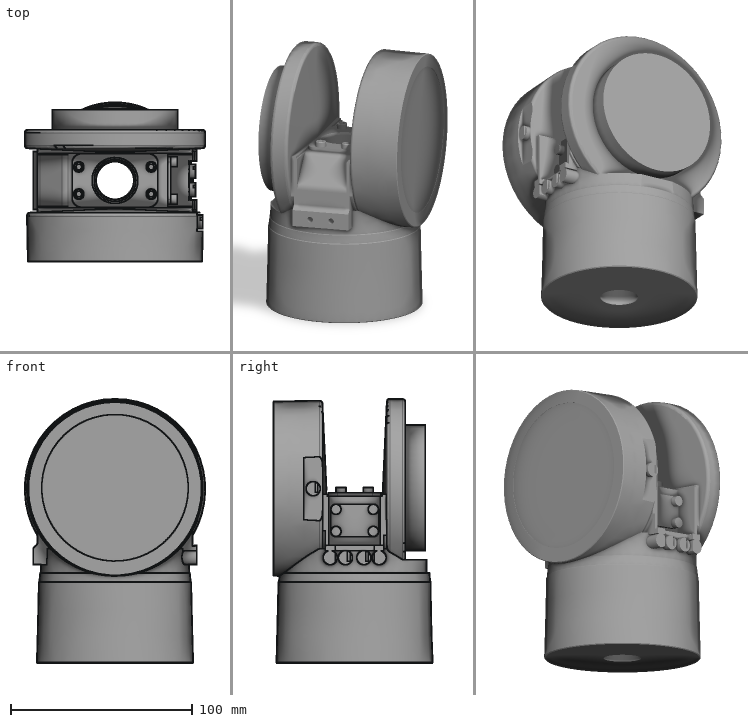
import cadquery as cq
import math

DRUM_BOTTOM_RADIUS = 43.25
DRUM_TOP_RADIUS = 42.15
DRUM_HEIGHT = 45.2
DRUM_CHAMFER = 0.5
COLLAR_TOP_RADIUS = 41.4
COLLAR_TOP = 50.2
SEAM_WIDTH = 0.4
SEAM_DEPTH = 0.3
NECK_RADIUS = 41.1
NECK_TOP_RADIUS = 40.7
NECK_TOP = 63.4
NECK_REAR_Y = 39.7
NECK_REAR_TOP = 57.3

REAR_AXIS_Z = 96.25
DISC_RADIUS = 49.9
DISC_INNER_Y = 17.7
DISC_OUTER_Y = 28.05
DISC_FILLET = 1.8
CONE_APEX_Y = 15.5
TUBE_RADIUS = 34.75
TUBE_END_Y = 39.1
TUBE_AXIS_Z = 97.0
FRONT_AXIS_Z = 96.5
FRONT_INNER_RADIUS = 48.75
FRONT_FACE_RADIUS = 48.2
FRONT_FACE_Y = -44.97
FRONT_FILLET = 1.9
FRONT_EDGE_CHAMFER = 0.4
WINDOW_RADIUS = 40.5
WINDOW_AXIS_Z = TUBE_AXIS_Z
WINDOW_DEPTH = 0.2

BRACKET_X = 42.9
BRACKET_HALF_WIDTH = 16.1
BRACKET_TOP = 92.4
CHEEK_TOP = 93.5
CHEEK_INNER_Y = 15.0
POCKET_HALF_WIDTH = 14.2
LEDGE_X = 45.2
LEDGE_LEFT_TOP = 63.6
LEDGE_RIGHT_TOP = 65.3
LEDGE_BOTTOM = 54.5
LEDGE_RIGHT_BOTTOM = 62.1
LEDGE_FILLET = 1.4
RELIEF_WIDTH = 1.2
RELIEF_DEPTH = 0.4
LEDGE_CHAMFER = LEDGE_X - BRACKET_X
RAMP_TOP_X = -26.2
RAMP_BOTTOM_Z = 75.0
RAMP_RADIUS = 4.5
RAMP_ANGLE = 45.0
LEDGE_HOLE_Y = 6.05
LEDGE_HOLE_Z = 58.9
LEDGE_HOLE_RADIUS = 1.6
LEDGE_HOLE_DEPTH = 4.0

PAD_LENGTH = 47.4
PAD_WIDTH = 29.4
PAD_CORNER = 5.0
PAD_TOP = 94.3
BORE_RADIUS = 10.4
BORE_MOUTH_RADIUS = 11.6
BORE_TAPER_DEPTH = 6.0
BORE_CHAMFER = 1.1
SCREW_X = 20.0
SCREW_Y = 7.5
SCREW_HEAD_RADIUS = 2.85
SCREW_HEAD_HEIGHT = 3.0
SCREW_HEAD_CHAMFER = 0.3
SCREW_SOCKET_RADIUS = 1.75
SCREW_SOCKET_DEPTH = 1.5

BAY_X = 29.0
PLATE_THICKNESS = 1.9
PLATE_HALF_WIDTH = 13.2
PLATE_BOTTOM = 70.0
PLATE_TOP = 88.0
PLATE_CORNER = 2.9
PLATE_SCREW_RADIUS = 2.8
PLATE_SCREW_HEIGHT = 3.4
NOTCH_X = 41.0
NOTCH_HALF_WIDTH = 10.7
EAR_RADIUS = 3.9
EAR_Y = 13.5
EAR_Z = LEDGE_BOTTOM + EAR_RADIUS
EAR_ROOT_X = 30.0
KNOB_Y = 5.1
KNOB_RADIUS = 3.9
KNOB_END_X = 44.6
KNOB_SLOT_OFFSET = 1.8
KNOB_SLOT_WIDTH = 1.5
KNOB_SLOT_DEPTH = 1.5

FLAT_X = 45.4
FLAT_Y_MIN = -28.0
FLAT_Y_MAX = -DISC_INNER_Y
FLAT_LENGTH = 50.0
FLAT_KNOB_Y = -22.9
FLAT_KNOB_END_X = 48.5
FLAT_KNOB_ROOT = 1.0


def box(x_min, x_max, y_min, y_max, z_min, z_max):
    block = cq.Workplane("XY").box(x_max - x_min, y_max - y_min, z_max - z_min, centered=False)
    return block.translate((x_min, y_min, z_min))


def cylinder_x(radius, x_min, x_max, y, z):
    return cq.Workplane("YZ", origin=(x_min, y, z)).circle(radius).extrude(x_max - x_min)


def cylinder_y(radius, y_min, y_max, z):
    return cq.Workplane("XZ", origin=(0, y_min, z)).circle(radius).extrude(y_min - y_max)


def turned_about_y(profile_points, axis_z):
    """Solid of revolution about a Y axis at height axis_z, from (radius, y) points."""
    profile = cq.Workplane("XY").polyline(profile_points).close()
    turned = profile.revolve(360, (0, 0, 0), (0, 1, 0))
    return turned.rotate((0, 0, 0), (0, 1, 0), -90).translate((0, 0, axis_z))


def drum():
    profile = [
        (0, 0),
        (DRUM_BOTTOM_RADIUS - DRUM_CHAMFER, 0),
        (DRUM_BOTTOM_RADIUS, DRUM_CHAMFER),
        (DRUM_TOP_RADIUS, DRUM_HEIGHT - SEAM_WIDTH),
        (DRUM_TOP_RADIUS - SEAM_DEPTH, DRUM_HEIGHT),
        (COLLAR_TOP_RADIUS, COLLAR_TOP - SEAM_WIDTH),
        (NECK_RADIUS, COLLAR_TOP),
        (NECK_TOP_RADIUS, NECK_TOP),
        (0, NECK_TOP),
    ]
    body = cq.Workplane("XZ").polyline(profile).close().revolve(360, (0, 0, 0), (0, 1, 0))
    body = body.rotate((0, 0, 0), (0, 0, 1), -90)
    reach = DRUM_BOTTOM_RADIUS
    body = body.cut(box(-reach, reach, NECK_REAR_Y, reach, COLLAR_TOP, NECK_TOP))
    return body.cut(box(-reach, reach, DISC_OUTER_Y, reach, NECK_REAR_TOP, NECK_TOP))


def rear_disc():
    rim = cylinder_y(DISC_RADIUS, DISC_INNER_Y, DISC_OUTER_Y, REAR_AXIS_Z).edges().fillet(DISC_FILLET)
    cone = turned_about_y(
        [(0, CONE_APEX_Y), (DISC_RADIUS - DISC_FILLET, DISC_INNER_Y), (0, DISC_INNER_Y)],
        REAR_AXIS_Z,
    )
    tube = cylinder_y(TUBE_RADIUS, DISC_INNER_Y + DISC_FILLET, TUBE_END_Y, TUBE_AXIS_Z)
    return rim.union(cone).union(tube)


def knob(root_x, end_x, y, z):
    """Round knob along X with an off-centre slot in its end."""
    head = cylinder_x(KNOB_RADIUS, root_x, end_x, y, z)
    slot_y = y + KNOB_SLOT_OFFSET - KNOB_SLOT_WIDTH / 2
    slot_x = end_x - KNOB_SLOT_DEPTH
    slot = box(slot_x, end_x, slot_y, slot_y + KNOB_SLOT_WIDTH, z - KNOB_RADIUS / 2, z + KNOB_RADIUS)
    return head.cut(slot)


def front_disc():
    disc = turned_about_y(
        [
            (0, -DISC_INNER_Y),
            (FRONT_INNER_RADIUS, -DISC_INNER_Y),
            (FRONT_FACE_RADIUS, FRONT_FACE_Y),
            (0, FRONT_FACE_Y),
        ],
        FRONT_AXIS_Z,
    )
    disc = disc.faces(">Y").edges().fillet(FRONT_FILLET)
    disc = disc.faces("<Y").edges().chamfer(FRONT_EDGE_CHAMFER)
    cone = turned_about_y(
        [(0, -CONE_APEX_Y), (FRONT_INNER_RADIUS - FRONT_FILLET, -DISC_INNER_Y), (0, -DISC_INNER_Y)],
        FRONT_AXIS_Z,
    )
    window = cylinder_y(WINDOW_RADIUS, FRONT_FACE_Y, FRONT_FACE_Y + WINDOW_DEPTH, WINDOW_AXIS_Z)
    flat_z_min = FRONT_AXIS_Z - FLAT_LENGTH / 2
    flat = box(FLAT_X, DISC_RADIUS, FLAT_Y_MIN, FLAT_Y_MAX, flat_z_min, flat_z_min + FLAT_LENGTH)
    flat_knob = knob(FLAT_X - FLAT_KNOB_ROOT, FLAT_KNOB_END_X, FLAT_KNOB_Y, FRONT_AXIS_Z)
    return disc.union(cone).cut(window).cut(flat).union(flat_knob)


def bracket_block():
    outline = [
        (-BRACKET_X, BRACKET_TOP),
        (-BRACKET_X, LEDGE_LEFT_TOP + LEDGE_CHAMFER),
        (-LEDGE_X, LEDGE_LEFT_TOP),
        (-LEDGE_X, LEDGE_BOTTOM),
        (0, LEDGE_BOTTOM),
        (0, LEDGE_RIGHT_BOTTOM),
        (LEDGE_X, LEDGE_RIGHT_BOTTOM),
        (LEDGE_X, LEDGE_RIGHT_TOP),
        (BRACKET_X + RELIEF_WIDTH, LEDGE_RIGHT_TOP),
        (BRACKET_X + RELIEF_WIDTH, LEDGE_RIGHT_TOP - RELIEF_DEPTH),
        (BRACKET_X, LEDGE_RIGHT_TOP - RELIEF_DEPTH),
        (BRACKET_X, BRACKET_TOP),
    ]
    block = cq.Workplane("XZ", origin=(0, BRACKET_HALF_WIDTH, 0)).polyline(outline).close()
    block = block.extrude(2 * BRACKET_HALF_WIDTH)
    corner = (-BRACKET_X, 0, LEDGE_LEFT_TOP + LEDGE_CHAMFER)
    return block.edges(cq.NearestToPointSelector(corner)).fillet(LEDGE_FILLET)


def cheeks():
    """Side strips that join the bracket to the discs, each kept inside its disc's outline."""
    strip = box(-BRACKET_X, BRACKET_X, CHEEK_INNER_Y, DISC_INNER_Y, NECK_TOP, CHEEK_TOP)
    rear_outline = cylinder_y(DISC_RADIUS, CHEEK_INNER_Y, DISC_INNER_Y, REAR_AXIS_Z)
    front_outline = cylinder_y(FRONT_INNER_RADIUS, -DISC_INNER_Y, -CHEEK_INNER_Y, FRONT_AXIS_Z)
    return strip.intersect(rear_outline).add(strip.mirror("XZ").intersect(front_outline)).combine()


def ramp_pocket():
    """Pocket on the -X side with a sloping floor rounded at both ends."""
    turn = math.radians(RAMP_ANGLE)
    drop = RAMP_RADIUS * (1 - math.cos(turn))
    run = RAMP_RADIUS * math.sin(turn)
    mid_drop = RAMP_RADIUS * (1 - math.cos(turn / 2))
    mid_run = RAMP_RADIUS * math.sin(turn / 2)
    ramp_start = (RAMP_TOP_X - run, BRACKET_TOP - drop)
    ramp_end = (-BRACKET_X + drop, RAMP_BOTTOM_Z + run)
    profile = (
        cq.Workplane("XZ", origin=(0, POCKET_HALF_WIDTH, 0))
        .moveTo(RAMP_TOP_X, BRACKET_TOP)
        .threePointArc((RAMP_TOP_X - mid_run, BRACKET_TOP - mid_drop), ramp_start)
        .lineTo(*ramp_end)
        .threePointArc((-BRACKET_X + mid_drop, RAMP_BOTTOM_Z + mid_run), (-BRACKET_X, RAMP_BOTTOM_Z))
        .lineTo(-BRACKET_X, BRACKET_TOP)
        .close()
    )
    return profile.extrude(2 * POCKET_HALF_WIDTH)


def ledge_holes():
    centres = [(-LEDGE_HOLE_Y, 0), (LEDGE_HOLE_Y, 0)]
    holes = cq.Workplane("YZ", origin=(-LEDGE_X, 0, LEDGE_HOLE_Z)).pushPoints(centres)
    return holes.circle(LEDGE_HOLE_RADIUS).extrude(LEDGE_HOLE_DEPTH)


def ledge_notch():
    return box(NOTCH_X, LEDGE_X, -NOTCH_HALF_WIDTH, NOTCH_HALF_WIDTH, LEDGE_BOTTOM, LEDGE_RIGHT_TOP)


def bay_plate():
    """Cover plate in the +X bay with a screw head at each rounded corner."""
    plate_x = BAY_X + PLATE_THICKNESS
    plate = box(BAY_X, plate_x, -PLATE_HALF_WIDTH, PLATE_HALF_WIDTH, PLATE_BOTTOM, PLATE_TOP)
    plate = plate.edges("|X").fillet(PLATE_CORNER)
    screw_y = PLATE_HALF_WIDTH - PLATE_CORNER
    for y in (-screw_y, screw_y):
        for z in (PLATE_BOTTOM + PLATE_CORNER, PLATE_TOP - PLATE_CORNER):
            plate = plate.union(cylinder_x(PLATE_SCREW_RADIUS, BAY_X, plate_x + PLATE_SCREW_HEIGHT, y, z))
    return plate


def ears_and_knobs():
    """Round ears below the +X ledge and the two knobs between them."""
    parts = cq.Workplane("XY")
    for side in (-1, 1):
        ear = cylinder_x(EAR_RADIUS, EAR_ROOT_X, LEDGE_X, side * EAR_Y, EAR_Z)
        parts = parts.add(ear.cut(ledge_notch()))
        parts = parts.add(knob(EAR_ROOT_X, KNOB_END_X, side * KNOB_Y, EAR_Z))
    return parts.combine()


def pad():
    plate = box(-PAD_LENGTH / 2, PAD_LENGTH / 2, -PAD_WIDTH / 2, PAD_WIDTH / 2, BRACKET_TOP, PAD_TOP)
    return plate.edges("|Z").fillet(PAD_CORNER)


def cap_screw(x, y):
    head = cq.Workplane("XY", origin=(x, y, PAD_TOP)).circle(SCREW_HEAD_RADIUS).extrude(SCREW_HEAD_HEIGHT)
    head = head.faces(">Z").edges().chamfer(SCREW_HEAD_CHAMFER)
    return head.faces(">Z").workplane().polygon(6, 2 * SCREW_SOCKET_RADIUS).cutBlind(-SCREW_SOCKET_DEPTH)


def bore():
    profile = [
        (0, 0),
        (BORE_RADIUS, 0),
        (BORE_RADIUS, PAD_TOP - BORE_TAPER_DEPTH),
        (BORE_MOUTH_RADIUS, PAD_TOP - BORE_CHAMFER),
        (BORE_MOUTH_RADIUS + BORE_CHAMFER, PAD_TOP),
        (0, PAD_TOP),
    ]
    return cq.Workplane("XZ").polyline(profile).close().revolve(360, (0, 0, 0), (0, 1, 0))


def bracket():
    body = bracket_block().cut(ramp_pocket()).cut(ledge_holes()).cut(ledge_notch())
    bay = box(BAY_X, BRACKET_X, -POCKET_HALF_WIDTH, POCKET_HALF_WIDTH, LEDGE_RIGHT_TOP, BRACKET_TOP)
    return body.cut(bay)


result = drum().union(bracket()).union(cheeks()).union(rear_disc()).union(front_disc())
result = result.union(bay_plate()).union(ears_and_knobs()).union(pad())
for screw_x in (-SCREW_X, SCREW_X):
    for screw_y in (-SCREW_Y, SCREW_Y):
        result = result.union(cap_screw(screw_x, screw_y))
result = result.cut(bore())